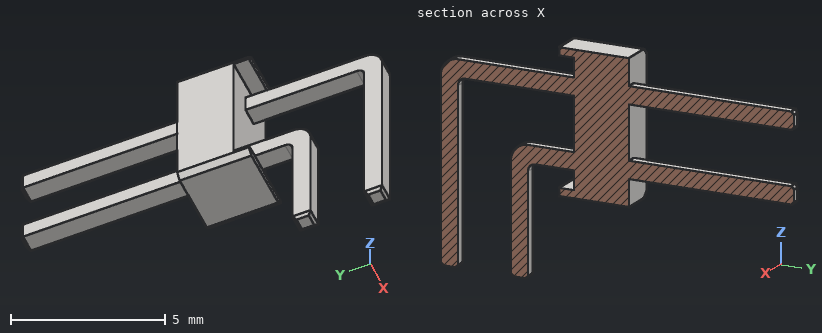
import cadquery as cq

pitch = 2.55
pin_size = 0.64
pin_tip_chamfer = 0.1
bend_outer_radius = 0.64
bend_inner_radius = 0.26
total_length = 12.86
total_height = 8.08
body_front = 4.31
recess_depth = 0.54
lip_thickness = 0.3
body_chamfer = 0.2

body_height = 2 * pitch
pin_bottom = body_height / 2 - total_height


def make_body():
    """Insulator block with chamfered long edges and a recess across its front."""
    block = (
        cq.Workplane("XY")
        .box(pitch, pitch, body_height)
        .edges("|Y")
        .chamfer(body_chamfer)
        .translate((0, body_front + pitch / 2, 0))
    )
    recess_height = body_height - 2 * lip_thickness
    recess = (
        cq.Workplane("XY")
        .box(pitch, recess_depth, recess_height)
        .translate((0, body_front + recess_depth / 2, 0))
    )
    return block.cut(recess)


def make_pin(front_y, center_z):
    """Right-angle square pin, with its vertical leg at the front and both tips chamfered."""
    top = center_z + pin_size / 2
    underside = top - pin_size
    leg_back = front_y + pin_size
    pin = (
        cq.Workplane("YZ")
        .moveTo(front_y, pin_bottom)
        .lineTo(front_y, top)
        .lineTo(total_length, top)
        .lineTo(total_length, underside)
        .lineTo(leg_back, underside)
        .lineTo(leg_back, pin_bottom)
        .close()
        .extrude(pin_size / 2, both=True)
    )
    pin = pin.faces(">Y or <Z").chamfer(pin_tip_chamfer)
    outer_corner = cq.selectors.NearestToPointSelector((0, front_y, top))
    inner_corner = cq.selectors.NearestToPointSelector((0, leg_back, underside))
    pin = pin.edges("|X").edges(outer_corner).fillet(bend_outer_radius)
    return pin.edges("|X").edges(inner_corner).fillet(bend_inner_radius)


result = make_body()
for row in range(2):
    front_y = row * pitch
    center_z = pitch / 2 - row * pitch
    result = result.union(make_pin(front_y, center_z))